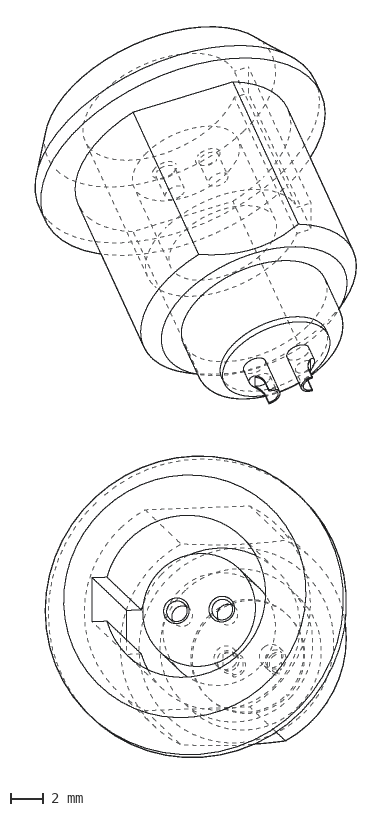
import cadquery as cq

total_length = 22.7
flange_cone_end = 3.0
flange_back = 4.0
body_end = 16.37
barrel_end = 19.8
insert_end = 20.2

flange_radius = 18.5 / 2
flange_face_radius = 7.51
body_radius = 7.01
body_chamfer = 0.98
flat_half_height = 6.22

barrel_radius = 4.75
barrel_fillet = 0.82
insert_radius = 3.5

socket_radius = 5.02
socket_depth = 10.9
slot_reach = 5.75
slot_width = 2.72
insert_front = 4.55

contact_offset = 1.4
contact_hole_radius = 0.64
contact_hole_depth = 1.82
contact_chamfer = 0.15

cup_radius = 0.73
cup_bore_radius = 0.6
cup_bore_depth = 1.36
relief_radius = 1.02
relief_tangent_x = 22.15


def rod(start, end, radius, y=0):
    """Cylinder parallel to X between two stations."""
    return cq.Workplane("YZ", origin=(start, y, 0)).circle(radius).extrude(end - start)


def cone(start, end, start_radius, end_radius, y=0):
    """Truncated cone parallel to X between two stations."""
    axis = cq.Vector(1, 0, 0)
    base = cq.Vector(start, y, 0)
    return cq.Workplane("XY").add(
        cq.Solid.makeCone(start_radius, end_radius, end - start, base, axis)
    )


def make_flange():
    front = cone(0, flange_cone_end, flange_face_radius, flange_radius)
    return front.union(rod(flange_cone_end, flange_back, flange_radius))


def make_body():
    body = rod(flange_back, body_end, body_radius).faces(">X").chamfer(body_chamfer)
    between_flats = cq.Workplane("XY").box(
        2 * total_length, 2 * body_radius, 2 * flat_half_height
    )
    return body.intersect(between_flats)


def make_barrel():
    return rod(body_end, barrel_end, barrel_radius).faces(">X").edges().fillet(barrel_fillet)


def make_socket():
    slot = cq.Workplane("XY").box(
        socket_depth, slot_reach, slot_width, centered=(False, False, True)
    )
    return rod(0, socket_depth, socket_radius).union(slot)


def make_contact_hole(side):
    y = side * contact_offset
    hole = rod(insert_front, insert_front + contact_hole_depth, contact_hole_radius, y)
    mouth_radius = contact_hole_radius + contact_chamfer
    countersink_end = insert_front + contact_chamfer
    countersink = cone(insert_front, countersink_end, mouth_radius, contact_hole_radius, y)
    return hole.union(countersink)


def make_solder_cup(side):
    """Hollow pin whose outward half is cut away with a rounded run-out."""
    y = side * contact_offset
    pin = rod(insert_end, total_length, cup_radius, y)
    bore = rod(total_length - cup_bore_depth, total_length, cup_bore_radius, y)
    relief_length = total_length - relief_tangent_x
    relief_center_y = y + side * relief_radius
    relief = (
        cq.Workplane("XY", origin=(relief_tangent_x, relief_center_y, 0))
        .circle(relief_radius)
        .extrude(cup_radius, both=True)
    )
    open_half = cq.Workplane("XY").box(
        relief_length, 2 * relief_radius, 2 * cup_radius, centered=(False, True, True)
    ).translate((relief_tangent_x, relief_center_y, 0))
    return pin.cut(bore).cut(relief).cut(open_half)


result = make_flange().union(make_body()).union(make_barrel())
result = result.union(rod(barrel_end, insert_end, insert_radius))
result = result.cut(make_socket())
result = result.union(rod(insert_front, socket_depth, insert_radius))
for side in (-1, 1):
    result = result.cut(make_contact_hole(side))
    result = result.union(make_solder_cup(side))